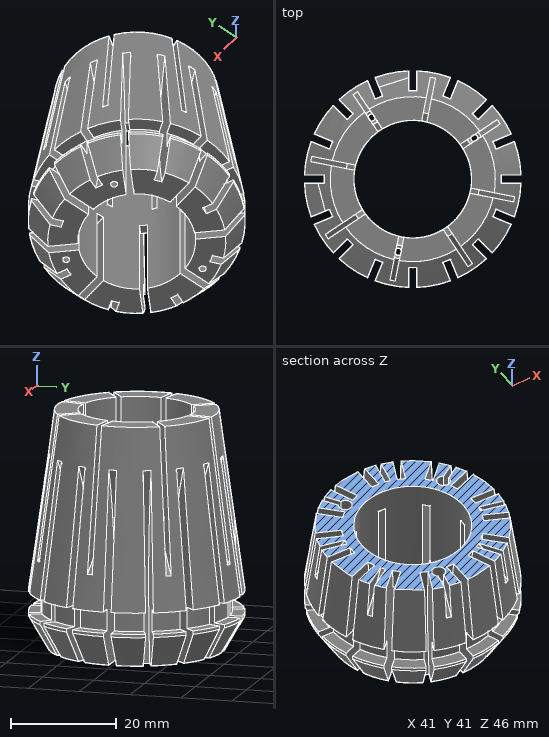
import cadquery as cq
import math

height = 46.0
outer_radius = 20.5
bore_radius = 11.1
taper_angle = 8.0
nose_angle = 30.0
nose_height = 6.35
groove_bottom = 7.0
groove_top = 11.1
groove_radius = 18.1

wide_slot_count = 16
wide_slot_width = 1.5
wide_slot_top = 37.85
wide_slot_deepest = 15.5

slit_interval = 2
slit_top = 20.4

narrow_slot_count = 8
narrow_slot_width = 1.0
narrow_slot_bottom = 17.9
ridge_radius = 12.7
ridge_height = 26.0
ridge_inner_slope = 25.0

saw_radius = 65.0

hole_slots = (1, 3, 6)
hole_circle_radius = 14.0
hole_radius = 0.65
chamber_radius = 1.25
chamber_bottom = 21.5
chamber_top = 28.3
chamber_floor_slope = 31.0

wide_slot_pitch = 360.0 / wide_slot_count
narrow_slot_pitch = 360.0 / narrow_slot_count
first_narrow_slot_angle = -wide_slot_pitch / 2
clearance = 2.0


def cone_radius(z):
    """Outer radius of the long cone at height z."""
    return outer_radius - (z - groove_top) * math.tan(math.radians(taper_angle))


def saw_arc_middle(start, end):
    """Middle of the saw arc from start to end, bulging to the left of that direction."""
    chord_x = end[0] - start[0]
    chord_z = end[1] - start[1]
    chord = math.hypot(chord_x, chord_z)
    bulge = saw_radius - math.sqrt(saw_radius**2 - (chord / 2) ** 2)
    middle_x = (start[0] + end[0]) / 2 - bulge * chord_z / chord
    middle_z = (start[1] + end[1]) / 2 + bulge * chord_x / chord
    return (middle_x, middle_z)


def cut_around(body, cutter, angles):
    """Cut the body with a cutter that lies along +X, turned to each of the angles."""
    turned = [cutter.rotate((0, 0, 0), (0, 0, 1), angle).val() for angle in angles]
    return body.cut(cq.Workplane(cq.Compound.makeCompound(turned)))


def wide_slot_angles(interval):
    """Angles of the wide slots, taking one in every interval."""
    return [index * wide_slot_pitch for index in range(0, wide_slot_count, interval)]


def narrow_slot_angle(index):
    return first_narrow_slot_angle + index * narrow_slot_pitch


def make_body():
    nose_radius = outer_radius - nose_height * math.tan(math.radians(nose_angle))
    return (
        cq.Workplane("XZ")
        .moveTo(bore_radius, 0)
        .lineTo(nose_radius, 0)
        .lineTo(outer_radius, nose_height)
        .lineTo(outer_radius, groove_bottom)
        .lineTo(groove_radius, groove_bottom)
        .lineTo(groove_radius, groove_top)
        .lineTo(outer_radius, groove_top)
        .lineTo(cone_radius(height), height)
        .lineTo(bore_radius, height)
        .close()
        .revolve(360, (0, 0, 0), (0, 1, 0))
    )


def cut_wide_slots(body):
    rise = wide_slot_top - wide_slot_deepest
    saw_centre_radius = cone_radius(wide_slot_top) + math.sqrt(saw_radius**2 - rise**2)
    deepest = (saw_centre_radius - saw_radius, wide_slot_deepest)
    nose_end = (saw_centre_radius - math.sqrt(saw_radius**2 - wide_slot_deepest**2), 0)
    outside = outer_radius + clearance
    outside_rise = math.sqrt(saw_radius**2 - (saw_centre_radius - outside) ** 2)
    outside_end = (outside, wide_slot_deepest + outside_rise)
    cutter = (
        cq.Workplane("XZ")
        .moveTo(*outside_end)
        .threePointArc(deepest, nose_end)
        .lineTo(nose_end[0], -clearance)
        .lineTo(outside, -clearance)
        .close()
        .extrude(wide_slot_width / 2, both=True)
    )
    return cut_around(body, cutter, wide_slot_angles(1))


def cut_slits(body):
    outside = outer_radius + clearance
    cutter = cq.Workplane("XY").box(outside, wide_slot_width, slit_top, centered=(False, True, False))
    return cut_around(body, cutter, wide_slot_angles(slit_interval))


def cut_narrow_slots(body):
    cone_end = (cone_radius(narrow_slot_bottom), narrow_slot_bottom)
    ridge = (ridge_radius, ridge_height)
    bore_drop = (ridge_radius - bore_radius) * math.tan(math.radians(ridge_inner_slope))
    bore_end = (bore_radius, ridge_height - bore_drop)
    inside = (bore_radius - clearance, bore_end[1])
    outside = outer_radius + clearance
    cutter = (
        cq.Workplane("XZ")
        .moveTo(inside[0], height + clearance)
        .lineTo(*inside)
        .lineTo(*bore_end)
        .lineTo(*ridge)
        .threePointArc(saw_arc_middle(cone_end, ridge), cone_end)
        .lineTo(outside, narrow_slot_bottom)
        .lineTo(outside, height + clearance)
        .close()
        .extrude(narrow_slot_width / 2, both=True)
    )
    return cut_around(body, cutter, [narrow_slot_angle(index) for index in range(narrow_slot_count)])


def cut_stepped_holes(body):
    floor_drop = (chamber_radius - hole_radius) * math.tan(math.radians(chamber_floor_slope))
    hole = (
        cq.Workplane("XZ")
        .moveTo(0, -clearance)
        .lineTo(hole_radius, -clearance)
        .lineTo(hole_radius, chamber_bottom - floor_drop)
        .lineTo(chamber_radius, chamber_bottom)
        .lineTo(chamber_radius, chamber_top)
        .lineTo(0, chamber_top)
        .close()
        .revolve(360, (0, 0, 0), (0, 1, 0))
        .translate((hole_circle_radius, 0, 0))
    )
    return cut_around(body, hole, [narrow_slot_angle(index) for index in hole_slots])


result = make_body()
result = cut_wide_slots(result)
result = cut_slits(result)
result = cut_narrow_slots(result)
result = cut_stepped_holes(result)